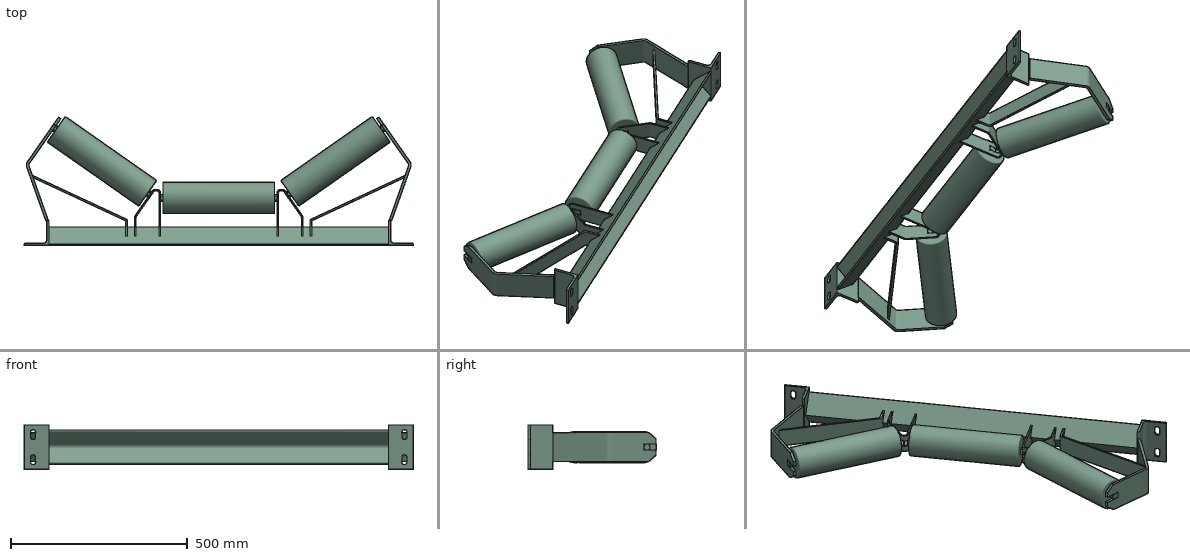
import cadquery as cq
import math


overall_length = 1100.0
foot_leg = 70.0
beam_leg = 69.0
angle_thickness = 7.0
angle_root_radius = 10.0
angle_toe_radius = 3.0
foot_width = 125.0
slot_width = 14.0
slot_length = 28.0
slot_end_distance = 25.0
slot_offset = 35.0

foot_face_x = foot_leg - overall_length / 2
toe_centre_drop = (beam_leg + angle_thickness - 2 * angle_toe_radius) * math.sqrt(0.5)
beam_ridge_y = toe_centre_drop + angle_toe_radius

trough_angle = 35.0
roller_diameter = 89.0
roller_length = 316.0
roller_rim_radius = 3.0
roller_gap = 7.0
shaft_diameter = 20.0
shaft_flat_width = 16.0
centre_roller_y = 134.0
side_roller_x = -330.0
side_roller_y = 238.0

plate_distance = roller_length / 2 + roller_gap

outer_thickness = 8.0
outer_height = 81.0
outer_bend_radius = 10.0
outer_lean = 19.5
outer_base_x = -490.0
outer_tip_length = 32.0
outer_chamfer_along = 24.0
outer_chamfer_across = 18.0

inner_thickness = 4.0
inner_height = 51.0
inner_bend_radius = 5.0
inner_leg_x = -238.0
inner_top_y = 158.0

strut_thickness = 5.0
strut_height = 51.0
strut_bend_radius = 1.0
strut_leg_x = -257.0
strut_bend_y = 73.0
strut_slope = 25.0


def unit(degrees):
    """Unit vector in the XY plane at an angle from +X."""
    return math.cos(math.radians(degrees)), math.sin(math.radians(degrees))


def step(point, degrees, distance):
    """Point reached from another one by going a distance along an angle."""
    x, y = unit(degrees)
    return point[0] + distance * x, point[1] + distance * y


def meet(point_a, degrees_a, point_b, degrees_b):
    """Crossing of two lines, each given by a point and an angle."""
    ax, ay = unit(degrees_a)
    bx, by = unit(degrees_b)
    gap_x = point_b[0] - point_a[0]
    gap_y = point_b[1] - point_a[1]
    return step(point_a, degrees_a, (gap_x * by - gap_y * bx) / (ax * by - ay * bx))


def mirrored(body):
    """The same body on the other side of X = 0."""
    return body.mirror("YZ")


side_axis = -trough_angle
plate_rise = 90 - trough_angle
side_centre = (side_roller_x, side_roller_y)
outer_seat = step(side_centre, side_axis, -plate_distance - outer_thickness)
inner_seat = step(side_centre, side_axis, plate_distance)
outer_base = (outer_base_x, foot_leg)
outer_bend = meet(outer_base, 90 + outer_lean, outer_seat, plate_rise)
outer_tip = step(outer_seat, plate_rise, outer_tip_length)
strut_bend = (strut_leg_x, strut_bend_y)


def bent_plate(face, thickness, height, bend_radius):
    """Bent strip whose section follows the polyline `face`, with its material to the right of it."""
    angles = []
    for (x0, y0), (x1, y1) in zip(face, face[1:]):
        angles.append(math.degrees(math.atan2(y1 - y0, x1 - x0)))

    back = [step(face[0], angles[0] - 90, thickness)]
    for corner, before, after in zip(face[1:], angles, angles[1:]):
        start = step(corner, before - 90, thickness)
        end = step(corner, after - 90, thickness)
        back.append(meet(start, before, end, after))
    back.append(step(face[-1], angles[-1] - 90, thickness))

    plate = cq.Workplane("XY").polyline(face + back[::-1]).close().extrude(height / 2, both=True)
    for i in range(1, len(face) - 1):
        turns_right = angles[i] < angles[i - 1]
        outside, inside = (face[i], back[i]) if turns_right else (back[i], face[i])
        for corner, radius in ((outside, bend_radius + thickness), (inside, bend_radius)):
            edge = cq.selectors.NearestToPointSelector((*corner, 0))
            plate = plate.edges("|Z").edges(edge).fillet(radius)
    return plate


def angle_profile(workplane, leg):
    """Angle section with its heel at the origin and its legs along the two axes of the workplane."""
    return (
        workplane.lineTo(leg, 0)
        .lineTo(leg, angle_thickness - angle_toe_radius)
        .radiusArc((leg - angle_toe_radius, angle_thickness), -angle_toe_radius)
        .lineTo(angle_thickness + angle_root_radius, angle_thickness)
        .radiusArc((angle_thickness, angle_thickness + angle_root_radius), angle_root_radius)
        .lineTo(angle_thickness, leg - angle_toe_radius)
        .radiusArc((angle_thickness - angle_toe_radius, leg), -angle_toe_radius)
        .lineTo(0, leg)
        .close()
    )


def make_beam():
    """Angle laid ridge upwards between the two feet."""
    section_plane = cq.Workplane("YZ").transformed(rotate=(0, 0, 135))
    beam = angle_profile(section_plane, beam_leg).extrude(-foot_face_x, both=True)
    return beam.translate((0, beam_ridge_y, 0))


def make_foot():
    """Short angle with its flange on the floor, pointing outwards, and two bolt slots."""
    foot = angle_profile(cq.Workplane("XY"), foot_leg).extrude(foot_width / 2, both=True)
    foot = foot.mirror("YZ").translate((foot_face_x, 0, 0))
    slots = (
        cq.Workplane("XZ")
        .pushPoints([(slot_end_distance - overall_length / 2, side * slot_offset) for side in (-1, 1)])
        .slot2D(slot_length, slot_width, 90)
        .extrude(-angle_thickness)
    )
    return foot.cut(slots)


def shaft_seat(centre, axis_angle):
    """Slot for a flatted shaft end, open towards the free end of a plate square to the shaft."""
    depth = roller_diameter / 2
    seat = cq.Workplane("XY").box(2 * outer_thickness, depth, shaft_flat_width)
    seat = seat.translate((0, (depth - shaft_diameter) / 2, 0))
    return seat.rotate((0, 0, 0), (0, 0, 1), axis_angle).translate((*centre, 0))


def make_outer_bracket():
    """Bent plate on top of the foot, carrying the outer end of a side roller."""
    start = step(outer_base, 90 + outer_lean, -outer_thickness)
    bracket = bent_plate([start, outer_bend, outer_tip], outer_thickness, outer_height, outer_bend_radius)
    below_foot_top = (
        cq.Workplane("XY")
        .box(overall_length, foot_leg, foot_width)
        .translate((-overall_length / 2, foot_leg / 2, 0))
    )
    bracket = bracket.cut(below_foot_top)

    reach = math.dist(outer_bend, outer_tip)
    half = outer_height / 2
    for side in (-1, 1):
        corner = (
            cq.Workplane("YZ")
            .moveTo(reach, side * half)
            .lineTo(reach - outer_chamfer_along, side * half)
            .lineTo(reach, side * (half - outer_chamfer_across))
            .close()
            .extrude(outer_thickness, both=True)
            .rotate((0, 0, 0), (0, 0, 1), side_axis)
            .translate((*outer_bend, 0))
        )
        bracket = bracket.cut(corner)
    return bracket.cut(shaft_seat(outer_seat, side_axis))


def beam_envelope():
    """Space under the two sloping outer faces of the beam."""
    return (
        cq.Workplane("YZ")
        .moveTo(beam_ridge_y, 0)
        .lineTo(0, beam_ridge_y)
        .lineTo(0, -beam_ridge_y)
        .close()
        .extrude(overall_length / 2, both=True)
    )


def leg_foot_y(height):
    """Level at which the edge of a plate of this height meets the beam."""
    return beam_ridge_y - height / 2


def make_strut():
    """Bent brace from the beam up to the lower leg of the outer bracket."""
    top = meet(strut_bend, 180 - strut_slope, outer_base, 90 + outer_lean)
    crossing = math.radians(90 - outer_lean - strut_slope)
    sink = (outer_thickness / math.sin(crossing) + strut_thickness / math.tan(crossing)) / 2
    top = step(top, -strut_slope, sink)
    leg_end = (strut_leg_x, leg_foot_y(strut_height))
    strut = bent_plate([top, strut_bend, leg_end], strut_thickness, strut_height, strut_bend_radius)
    return strut.cut(beam_envelope())


def make_inner_bracket():
    """Bent strip astride the beam, carrying one end of the centre roller and one of a side roller."""
    leg_end_y = leg_foot_y(inner_height)
    face = [
        (inner_leg_x, leg_end_y),
        meet((inner_leg_x, 0), 90, inner_seat, plate_rise),
        meet((0, inner_top_y), 0, inner_seat, plate_rise),
        (-plate_distance, inner_top_y),
        (-plate_distance, leg_end_y),
    ]
    bracket = bent_plate(face, inner_thickness, inner_height, inner_bend_radius)
    bracket = bracket.cut(beam_envelope())
    bracket = bracket.cut(shaft_seat(inner_seat, side_axis))
    return bracket.cut(shaft_seat((-plate_distance, centre_roller_y), 0))


def make_roller():
    """Shell along X, centred on the origin, bored for its shaft."""
    return (
        cq.Workplane("YZ")
        .workplane(offset=-roller_length / 2)
        .circle(roller_diameter / 2)
        .extrude(roller_length)
        .edges()
        .fillet(roller_rim_radius)
        .cut(cq.Workplane("YZ").circle(shaft_diameter / 2).extrude(roller_length, both=True))
    )


def make_shaft(left_plate, right_plate):
    """Shaft along X, with two flats outside the roller that let its ends drop into the plates."""
    left_end = -plate_distance - left_plate
    right_end = plate_distance + right_plate
    length = right_end - left_end
    shaft = cq.Workplane("YZ").workplane(offset=left_end).circle(shaft_diameter / 2).extrude(length)
    flatted = cq.Workplane("XY").box(3 * roller_length, shaft_diameter, shaft_flat_width)
    inside_roller = cq.Workplane("XY").box(roller_length, shaft_diameter, shaft_diameter)
    return shaft.intersect(flatted.union(inside_roller))


def at_left_side(body):
    """Moves a body from the origin to the tilted axis of the left roller."""
    return body.rotate((0, 0, 0), (0, 0, 1), side_axis).translate((*side_centre, 0))


half_frame = make_foot().union(make_outer_bracket()).union(make_strut())
frame = make_beam().union(half_frame).union(mirrored(half_frame))

inner_bracket = make_inner_bracket()
inner_brackets = [inner_bracket, mirrored(inner_bracket)]

centre_roller = make_roller().translate((0, centre_roller_y, 0))
side_roller = at_left_side(make_roller())
rollers = [centre_roller, side_roller, mirrored(side_roller)]

centre_shaft = make_shaft(inner_thickness, inner_thickness).translate((0, centre_roller_y, 0))
side_shaft = at_left_side(make_shaft(outer_thickness, inner_thickness))
shafts = [centre_shaft, side_shaft, mirrored(side_shaft)]

bodies = [frame, *inner_brackets, *rollers, *shafts]
result = cq.Compound.makeCompound([body.solids().val() for body in bodies])